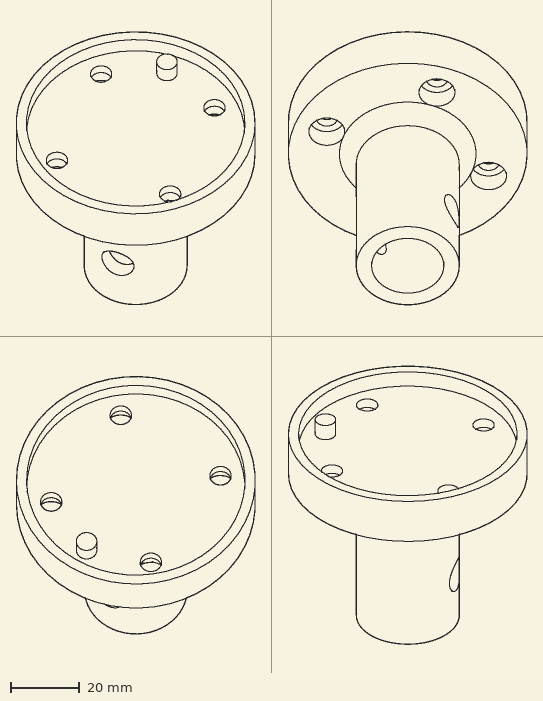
import cadquery as cq

head_diameter = 69.5
head_height = 14.1
recess_diameter = 63.5
recess_depth = 5.0

stem_diameter = 30.0
bore_diameter = 21.0
total_height = 64.0
collar_height = 4.85
bore_depth = 45.05

cross_hole_diameter = 10.0
cross_hole_height = 17.25

mount_hole_diameter = 6.2
mount_hole_spacing = 35.4
counterbore_diameter = 10.4
counterbore_ledge = 3.0
pin_diameter = 6.0
pin_offset = 25
pin_height = 5.0

head_bottom = total_height - head_height
recess_floor = total_height - recess_depth
counterbore_depth = recess_floor - counterbore_ledge - head_bottom


def cylinder(diameter, bottom, height):
    """Vertical cylinder on the part axis."""
    return cq.Workplane("XY").workplane(offset=bottom).circle(diameter / 2).extrude(height)


def make_body():
    """Head, collar and stem as one revolved profile."""
    stem_radius = stem_diameter / 2
    head_radius = head_diameter / 2
    return (
        cq.Workplane("XZ")
        .moveTo(0, 0)
        .lineTo(stem_radius, 0)
        .lineTo(stem_radius, head_bottom - collar_height)
        .lineTo(stem_radius + collar_height, head_bottom)
        .lineTo(head_radius, head_bottom)
        .lineTo(head_radius, total_height)
        .lineTo(0, total_height)
        .close()
        .revolve(360, (0, 0, 0), (0, 1, 0))
    )


def mount_pattern(diameter, height):
    """Four cylinders on the mounting pattern, rising from the underside of the head."""
    return (
        cq.Workplane("XY")
        .workplane(offset=head_bottom)
        .rect(mount_hole_spacing, mount_hole_spacing, forConstruction=True)
        .vertices()
        .circle(diameter / 2)
        .extrude(height)
    )


def make_cross_hole():
    """Hole along Y through both walls of the stem."""
    return (
        cq.Workplane("XZ")
        .center(0, cross_hole_height)
        .circle(cross_hole_diameter / 2)
        .extrude(stem_diameter, both=True)
    )


mount_holes = mount_pattern(mount_hole_diameter, head_height)
counterbores = mount_pattern(counterbore_diameter, counterbore_depth)
recess = cylinder(recess_diameter, recess_floor, recess_depth)
bore = cylinder(bore_diameter, 0, bore_depth)
pin = cylinder(pin_diameter, recess_floor, pin_height).translate((0, pin_offset, 0))

result = (
    make_body()
    .cut(recess)
    .cut(bore)
    .cut(mount_holes)
    .cut(counterbores)
    .cut(make_cross_hole())
    .union(pin)
)